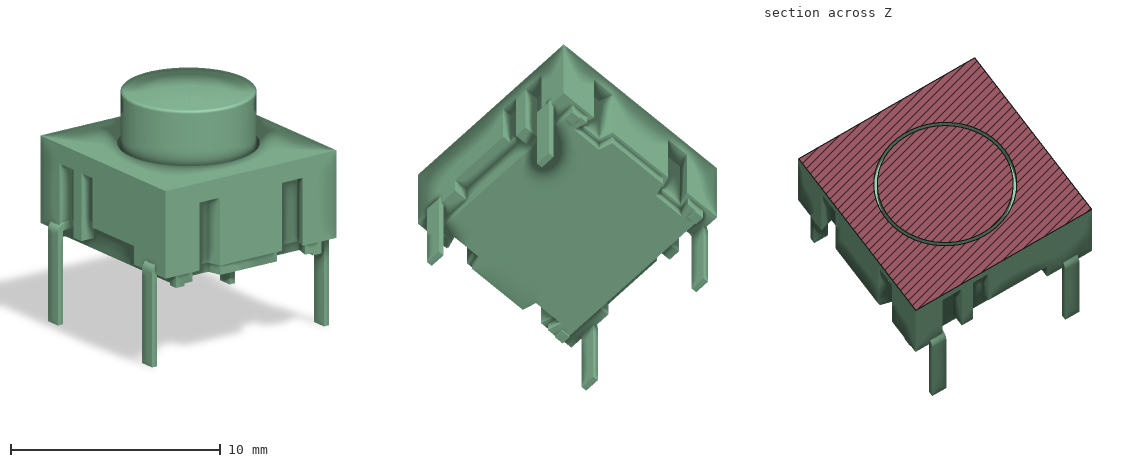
import cadquery as cq

housing_side = 10.1
housing_bottom = 4.68
housing_top = 9.1
slot_top = 8.11

base_length = 9.72
base_width = 8.59
base_bottom = 4.13
foot_side = 0.49
foot_bottom = 4.0

button_diameter = 6.5
button_bore_diameter = 6.8
button_bore_depth = 1.0
button_edge_round = 0.15
button_shoulder = 11.82
button_top = 12.0

tall_slot_left = -3.52
tall_slot_right = -2.4
wide_recess_left = -1.75
wide_recess_right = 2.48
wide_recess_top = 5.62
shallow_slot_right = -0.86
shallow_slot_depth = 0.49

side_slot_outer = 3.05
side_slot_inner = 1.82
side_slot_depth = 0.71
side_slot_lean = 0.23
base_slot_outer = 3.32
base_slot_inner = 1.68
base_slot_depth = 0.71
base_slot_lean = 0.19

leg_width = 0.8
leg_thickness = 0.3
leg_spacing = 7.62
leg_span = 10.46
leg_bend_radius = 0.5
leg_tuck = 0.96
low_bend_height = 4.61
high_bend_height = 4.75

half_side = housing_side / 2
half_length = base_length / 2
half_width = base_width / 2
recess_depth = half_side - half_width


def block(x0, x1, y0, y1, z0, z1):
    """Box between two opposite corners."""
    return cq.Workplane("XY").box(x1 - x0, y1 - y0, z1 - z0, centered=False).translate((x0, y0, z0))


def leaning_slot(wall, inner, outer, depth, lean, bottom, top):
    """Vertical slot in the -X wall, both flanks leaning outward as it deepens."""
    outline = [(-wall, inner), (-wall, outer), (-wall + depth, outer + lean), (-wall + depth, inner + lean)]
    return cq.Workplane("XY", origin=(0, 0, bottom)).polyline(outline).close().extrude(top - bottom)


def four_way_cut(body, slot):
    """Cut a slot and its mirror images, two in each side wall."""
    pair = slot.union(slot.mirror("XZ"))
    return body.cut(pair).cut(pair.mirror("YZ"))


def make_housing():
    housing = block(-half_side, half_side, -half_side, half_side, housing_bottom, housing_top)

    def front_recess(left, right, depth, top):
        return block(left, right, -half_side, -half_side + depth, housing_bottom, top)

    tall_slot = front_recess(tall_slot_left, tall_slot_right, recess_depth, slot_top)
    wide_recess = front_recess(wide_recess_left, wide_recess_right, recess_depth, wide_recess_top)
    shallow_slot = front_recess(wide_recess_left, shallow_slot_right, shallow_slot_depth, slot_top)
    recesses = tall_slot.union(wide_recess).union(shallow_slot)
    housing = housing.cut(recesses).cut(recesses.mirror("XZ"))

    side_slot = leaning_slot(
        half_side, side_slot_inner, side_slot_outer, side_slot_depth, side_slot_lean,
        housing_bottom, slot_top,
    )
    housing = four_way_cut(housing, side_slot)

    bore = cq.Workplane("XY", origin=(0, 0, housing_top)).circle(button_bore_diameter / 2)
    return housing.cut(bore.extrude(-button_bore_depth))


def make_base():
    base = block(-half_length, half_length, -half_width, half_width, base_bottom, housing_bottom)
    base_slot = leaning_slot(
        half_length, base_slot_inner, base_slot_outer, base_slot_depth, base_slot_lean,
        base_bottom, housing_bottom,
    )
    base = four_way_cut(base, base_slot)
    feet = (
        cq.Workplane("XY", origin=(0, 0, foot_bottom))
        .rect(base_length - foot_side, base_width - foot_side, forConstruction=True)
        .vertices()
        .rect(foot_side, foot_side)
        .extrude(housing_bottom - foot_bottom)
    )
    return base.union(feet)


def make_button():
    """Round button with a rounded edge and a shallow domed top."""
    radius = button_diameter / 2
    dome_radius = radius - button_edge_round
    dome_rise = button_top - button_shoulder
    sphere_radius = (dome_radius**2 + dome_rise**2) / (2 * dome_rise)
    dome_mid_x = dome_radius / 2
    dome_mid_z = button_top - sphere_radius + (sphere_radius**2 - dome_mid_x**2) ** 0.5
    profile = (
        cq.Workplane("XZ")
        .moveTo(0, housing_top - button_bore_depth)
        .lineTo(radius, housing_top - button_bore_depth)
        .lineTo(radius, button_shoulder - button_edge_round)
        .radiusArc((dome_radius, button_shoulder), -button_edge_round)
        .threePointArc((dome_mid_x, dome_mid_z), (0, button_top))
        .close()
    )
    return profile.revolve(360, (0, 0, 0), (0, 1, 0))


def make_leg(center_x, bend_height):
    """Leg on the -Y side: a horizontal run bent down into a straight pin."""
    outer_y = -leg_span / 2
    bend_y = outer_y + leg_bend_radius
    inner_radius = leg_bend_radius - leg_thickness
    run_end = -half_side + leg_tuck
    profile = (
        cq.Workplane("YZ", origin=(center_x - leg_width / 2, 0, 0))
        .moveTo(outer_y, 0)
        .lineTo(outer_y, bend_height)
        .radiusArc((bend_y, bend_height + leg_bend_radius), leg_bend_radius)
        .lineTo(run_end, bend_height + leg_bend_radius)
        .lineTo(run_end, bend_height + inner_radius)
        .lineTo(bend_y, bend_height + inner_radius)
        .radiusArc((outer_y + leg_thickness, bend_height), -inner_radius)
        .lineTo(outer_y + leg_thickness, 0)
        .close()
    )
    return profile.extrude(leg_width)


result = make_housing().union(make_base()).union(make_button())
for leg_x, leg_bend_height in ((-leg_spacing / 2, low_bend_height), (leg_spacing / 2, high_bend_height)):
    leg = make_leg(leg_x, leg_bend_height)
    result = result.union(leg).union(leg.mirror("XZ"))